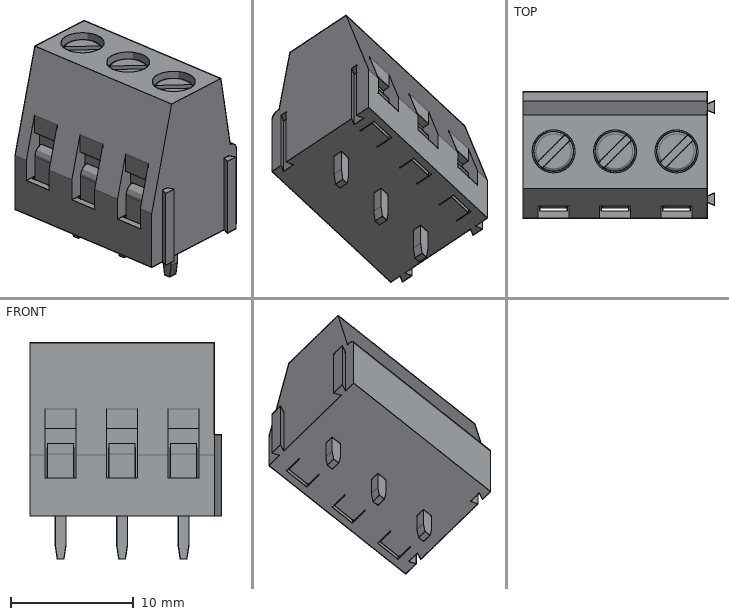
import cadquery as cq
import math

poles = 3
pitch = 5.0
housing_length = poles * pitch
housing_depth = 10.3
housing_height = 14.1
pole_positions = [(i + 0.5) * pitch for i in range(poles)]

front_wall_height = 4.96
front_slope_run = 2.41
top_depth = 5.98
back_step = 0.75
back_step_height = 7.57
back_step_radius = 0.75

dovetail_height = 6.62
dovetail_reach = 0.6
dovetail_root_width = 0.53
dovetail_tip_width = 1.04
dovetail_positions = [1.55, 9.05]

screw_y = 5.44
well_radius = 1.75
well_depth = 2.11
screw_radius = 1.62
screw_rounding = 0.2
screw_recess = 0.5
driver_slot_width = 0.62
driver_slot_depth = 1.0
driver_slot_angle = 45

entry_width = 2.5
entry_floor = 3.12
entry_lintel = 7.13
entry_top = 8.73
entry_depth = 1.6

pit_width = 2.22
pit_front = 0.6
pit_back = 2.11
pit_top = 5.53
clamp_width = 2.11
clamp_front = 0.83
clamp_radius = 0.88
clamp_top = 5.91

pin_y = 5.02
pin_width = 0.9
pin_thickness = 0.77
overall_height = 17.6
pin_length = overall_height - housing_height
pin_taper_length = 1.15
pin_tip_width = 0.55


def box(x_center, width, y_range, z_range):
    """Box centred on x_center that spans the given Y and Z ranges."""
    depth = y_range[1] - y_range[0]
    height = z_range[1] - z_range[0]
    corner = (x_center - width / 2, y_range[0], z_range[0])
    return cq.Workplane("XY").box(width, depth, height, centered=False).translate(corner)


def make_housing():
    """Side profile with a sloped front, a sloped back and a rounded step."""
    half_corner = math.radians(45)
    arc_center_y = housing_depth - back_step_radius
    arc_center_z = back_step_height - back_step_radius
    arc_middle = (
        arc_center_y + back_step_radius * math.cos(half_corner),
        arc_center_z + back_step_radius * math.sin(half_corner),
    )
    return (
        cq.Workplane("YZ")
        .moveTo(0, 0)
        .lineTo(housing_depth, 0)
        .lineTo(housing_depth, arc_center_z)
        .threePointArc(arc_middle, (housing_depth - back_step, back_step_height))
        .lineTo(front_slope_run + top_depth, housing_height)
        .lineTo(front_slope_run, housing_height)
        .lineTo(0, front_wall_height)
        .close()
        .extrude(housing_length)
    )


def make_dovetail(x, y):
    """Upright dovetail that starts at x and widens toward +X."""
    root = dovetail_root_width / 2
    tip = dovetail_tip_width / 2
    outline = [(0, -root), (dovetail_reach, -tip), (dovetail_reach, tip), (0, root)]
    dovetail = cq.Workplane("XY").polyline(outline).close().extrude(dovetail_height)
    return dovetail.translate((x, y, 0))


def make_well(x):
    """Round well sunk into the top face."""
    return (
        cq.Workplane("XY", origin=(x, screw_y, housing_height - well_depth))
        .circle(well_radius)
        .extrude(well_depth)
    )


def make_screw(x):
    """Slotted screw head with a rounded rim, standing on the well floor."""
    head_height = well_depth - screw_recess
    head = cq.Workplane("XY").circle(screw_radius).extrude(head_height)
    head = head.faces(">Z").edges().fillet(screw_rounding)
    driver_slot = (
        cq.Workplane("XY", origin=(0, 0, head_height - driver_slot_depth))
        .rect(2 * well_radius, driver_slot_width)
        .extrude(driver_slot_depth)
        .rotate((0, 0, 0), (0, 0, 1), driver_slot_angle)
    )
    return head.cut(driver_slot).translate((x, screw_y, housing_height - well_depth))


def make_entry(x):
    """Stepped wire opening: a shallow upper part above a deeper lower part."""
    slope = front_slope_run / (housing_height - front_wall_height)
    lintel_y = (entry_top - front_wall_height) * slope
    upper = box(x, entry_width, (0, lintel_y), (entry_floor, entry_top))
    lower = box(x, entry_width, (0, entry_depth), (entry_floor, entry_lintel))
    return upper.union(lower)


def make_pit(x):
    """Pit that opens through the base and continues behind the entry wall."""
    return box(x, pit_width, (pit_front, pit_back), (0, pit_top))


def make_clamp(x):
    """Upright clamp with a rounded front top edge."""
    clamp = box(x, clamp_width, (clamp_front, pit_back), (0, clamp_top))
    return clamp.edges("|X and >Z and <Y").fillet(clamp_radius)


def make_pin(x):
    """Flat pin below the base whose sides taper toward the tip."""
    half = pin_width / 2
    half_tip = pin_tip_width / 2
    taper_start = pin_taper_length - pin_length
    outline = [
        (-half, 0),
        (-half, taper_start),
        (-half_tip, -pin_length),
        (half_tip, -pin_length),
        (half, taper_start),
        (half, 0),
    ]
    return (
        cq.Workplane("XZ")
        .polyline(outline)
        .close()
        .extrude(pin_thickness / 2, both=True)
        .translate((x, pin_y, 0))
    )


result = make_housing()

for rib_y in dovetail_positions:
    result = result.cut(make_dovetail(0, rib_y))
    result = result.union(make_dovetail(housing_length, rib_y))

for pole_x in pole_positions:
    result = result.cut(make_well(pole_x)).union(make_screw(pole_x))
    result = result.cut(make_entry(pole_x)).cut(make_pit(pole_x))
    result = result.union(make_clamp(pole_x)).union(make_pin(pole_x))